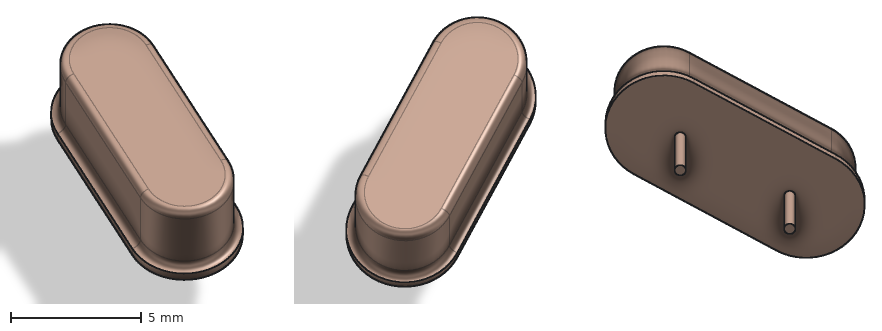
import cadquery as cq

length = 10.85
width = 4.5
flange_thickness = 0.4

body_height = 3.69
edge_radius = 0.35

lead_diameter = 0.43
lead_length = 3.0
lead_spacing = 4.88

end_radius = width / 2
end_spacing = length - width
can_radius = end_radius - edge_radius
foot_top = flange_thickness + edge_radius
top_edge_start = body_height - edge_radius


def half_section(plane):
    """Half of the can and flange cross-section, from the center line outwards."""
    arc_offset = edge_radius * 0.5 ** 0.5
    foot_middle = (end_radius - arc_offset, foot_top - arc_offset)
    top_middle = (can_radius - edge_radius + arc_offset, top_edge_start + arc_offset)
    return (
        cq.Workplane(plane)
        .lineTo(end_radius, 0)
        .lineTo(end_radius, flange_thickness)
        .threePointArc(foot_middle, (can_radius, foot_top))
        .lineTo(can_radius, top_edge_start)
        .threePointArc(top_middle, (can_radius - edge_radius, body_height))
        .lineTo(0, body_height)
        .close()
    )


def make_body():
    """Straight middle stretch closed by a revolved round end on each side."""
    half_middle = half_section("YZ").extrude(end_spacing / 2, both=True)
    body = half_middle.union(half_middle.mirror("XZ"))
    round_end = half_section("XZ").revolve(360, (0, 0), (0, 1))
    for side in (-1, 1):
        body = body.union(round_end.translate((side * end_spacing / 2, 0, 0)))
    return body.clean()


def make_leads():
    """Two round leads below the flange."""
    return (
        cq.Workplane("XY")
        .pushPoints([(-lead_spacing / 2, 0), (lead_spacing / 2, 0)])
        .circle(lead_diameter / 2)
        .extrude(-lead_length)
    )


result = make_body().union(make_leads())